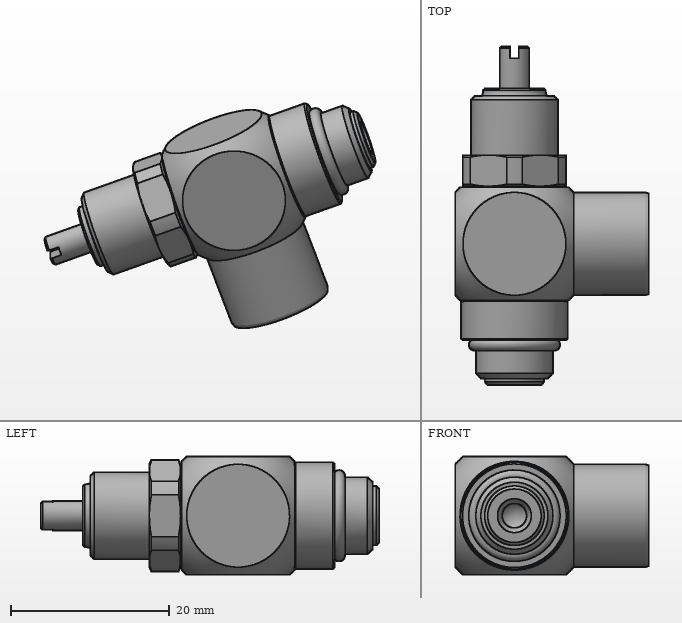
import cadquery as cq

body_width = 15.0
body_half = body_width / 2
body_length = 14.3
body_face_radius = 6.5
body_sphere_radius = (body_half**2 + body_face_radius**2) ** 0.5
body_end = body_length / 2

neck_radius = 6.4
neck_length = 0.13
neck_end = body_end + neck_length

stub_radius = body_face_radius
stub_end = 17.0
stub_chamfer_length = 0.43
stub_chamfer_depth = 0.13

hex_across_flats = 13.1
hex_corner_radius = 7.05
hex_end = 11.2
hex_chamfer_length = 0.25
hex_chamfer_radius = hex_across_flats / 2

bonnet_radius = 5.5
bonnet_end = 18.7
bonnet_chamfer = 0.5
gland_radius = 4.0
gland_foot_radius = 4.1
gland_foot_length = 0.43
gland_end = 19.65
gland_chamfer = 0.25
spindle_radius = 1.9
spindle_end = 24.95
spindle_chamfer = 0.25
slot_width = 1.05
slot_depth = 1.5

collar_radius = 6.75
collar_length = 4.92
collar_end = -neck_end - collar_length
collar_chamfer = 0.2
ring_outer_radius = 5.78
ring_section_radius = 0.75
ring_section_centre = ring_outer_radius - ring_section_radius
ring_centre = -12.75
plug_radius = 4.9
plug_taper_start = -16.35
plug_taper_end = -17.05
plug_taper_radius = 4.25
nose_radius = 3.75
nose_chamfer = 0.4
overall_length = 42.8
nose_end = spindle_end - overall_length

inlet_radius = 1.55
inlet_mouth_radius = 2.15
inlet_mouth_depth = 1.05
outlet_radius = 2.1


def turned_along_y(outline):
    """Revolve (radius, y) points, closed along the Y axis."""
    first_y = outline[0][1]
    last_y = outline[-1][1]
    points = [(0, first_y)] + outline + [(0, last_y)]
    return cq.Workplane("XY").polyline(points).close().revolve(360, (0, 0), (0, 1))


def make_body():
    block = cq.Workplane("XY").box(body_width, body_length, body_width)
    return block.intersect(cq.Workplane("XY").sphere(body_sphere_radius))


def make_stub():
    outline = [
        (0, 0),
        (0, stub_radius),
        (stub_end - stub_chamfer_length, stub_radius),
        (stub_end, stub_radius - stub_chamfer_depth),
        (stub_end, 0),
    ]
    return cq.Workplane("XY").polyline(outline).close().revolve(360, (0, 0), (1, 0))


def make_hex():
    """Hexagon with two flats facing +X and -X, rounded and chamfered at the corners."""
    prism = turned_along_y([
        (hex_chamfer_radius, neck_end),
        (hex_corner_radius, neck_end + hex_chamfer_length),
        (hex_corner_radius, hex_end - hex_chamfer_length),
        (hex_chamfer_radius, hex_end),
    ])
    for angle in (0, 60, 120):
        slab = (
            cq.Workplane("XY")
            .box(hex_across_flats, 2 * hex_end, 2 * hex_across_flats)
            .rotate((0, 0, 0), (0, 1, 0), angle)
        )
        prism = prism.intersect(slab)
    return prism


def make_upper_stem():
    return turned_along_y([
        (neck_radius, 0),
        (neck_radius, neck_end),
        (bonnet_radius, neck_end),
        (bonnet_radius, bonnet_end - bonnet_chamfer),
        (bonnet_radius - bonnet_chamfer, bonnet_end),
        (gland_foot_radius, bonnet_end),
        (gland_radius, bonnet_end + gland_foot_length),
        (gland_radius, gland_end - gland_chamfer),
        (gland_radius - gland_chamfer, gland_end),
        (spindle_radius, gland_end),
        (spindle_radius, spindle_end - spindle_chamfer),
        (spindle_radius - spindle_chamfer, spindle_end),
    ])


def make_lower_stem():
    return turned_along_y([
        (neck_radius, 0),
        (neck_radius, -neck_end),
        (collar_radius, -neck_end),
        (collar_radius, collar_end + collar_chamfer),
        (collar_radius - collar_chamfer, collar_end),
        (ring_section_centre, collar_end),
        (ring_section_centre, ring_centre - ring_section_radius),
        (plug_radius, ring_centre - ring_section_radius),
        (plug_radius, plug_taper_start),
        (plug_taper_radius, plug_taper_end),
        (nose_radius, plug_taper_end),
        (nose_radius, nose_end + nose_chamfer),
        (nose_radius - nose_chamfer, nose_end),
    ])


def make_seal_ring():
    section = cq.Workplane("XY").center(ring_section_centre, ring_centre).circle(ring_section_radius)
    return section.revolve(360, (-ring_section_centre, 0), (-ring_section_centre, 1))


def make_driver_slot():
    slot_bottom = spindle_end - slot_depth
    return (
        cq.Workplane("XY")
        .box(slot_width, 2 * slot_depth, 2 * bonnet_radius)
        .translate((0, slot_bottom + slot_depth, 0))
    )


def make_passages():
    inlet = turned_along_y([
        (inlet_mouth_radius, nose_end),
        (inlet_radius, nose_end + inlet_mouth_depth),
        (inlet_radius, 0),
    ])
    outlet = cq.Workplane("YZ").circle(outlet_radius).extrude(stub_end)
    ball_end = cq.Workplane("XY").sphere(outlet_radius)
    return inlet.union(outlet).union(ball_end)


result = (
    make_body()
    .union(make_stub())
    .union(make_hex())
    .union(make_upper_stem())
    .union(make_lower_stem())
    .union(make_seal_ring())
    .cut(make_driver_slot())
    .cut(make_passages())
)